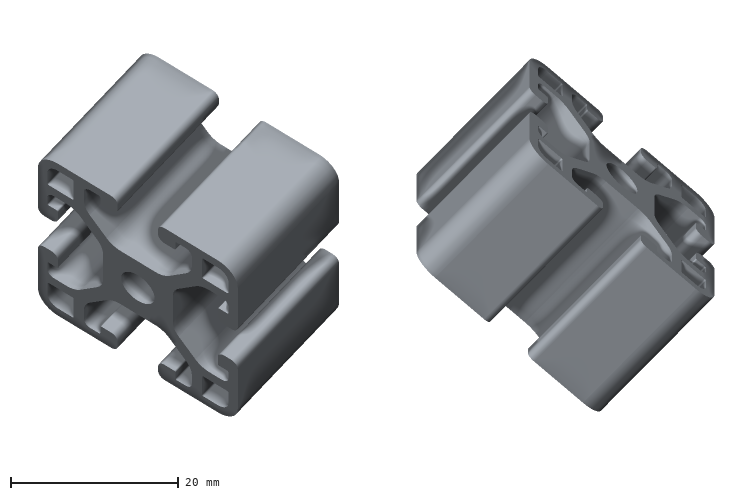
import cadquery as cq
import math

side = 30.0
length = 20.0
half_side = side / 2
corner_radius = 3.0

outer_wall = 1.4
bore_diameter = 5.0
core_width = 10.5
diagonal_web = 2.0

mouth_width = 6.1
lip_depth = 3.0
hook_gap = 11.3
slot_width = 16.2
lip_radius = 1.0
slot_corner_radius = 1.0
web_radius = 3.0
small_radius = 0.2

hollow_web = 1.55
hollow_inner = slot_width / 2 + hollow_web
hollow_radius = corner_radius - outer_wall

lip_bottom = half_side - lip_depth
inner_wall_face = half_side - outer_wall

web_offset = diagonal_web / math.sqrt(2)


def unit_vector(start, end):
    dx = end[0] - start[0]
    dz = end[1] - start[1]
    size = math.hypot(dx, dz)
    return dx / size, dz / size


def rounded_outline(corners):
    """Closed outline through (x, z, radius) corners, each rounded by a tangent arc."""
    rounds = []
    for i, (x, z, radius) in enumerate(corners):
        back = unit_vector((x, z), corners[i - 1])
        ahead = unit_vector((x, z), corners[(i + 1) % len(corners)])
        half_angle = math.acos(back[0] * ahead[0] + back[1] * ahead[1]) / 2
        tangent = radius / math.tan(half_angle)
        bulge = radius / math.sin(half_angle) - radius
        bisector = unit_vector((0, 0), (back[0] + ahead[0], back[1] + ahead[1]))
        arc_start = (x + tangent * back[0], z + tangent * back[1])
        arc_middle = (x + bulge * bisector[0], z + bulge * bisector[1])
        arc_end = (x + tangent * ahead[0], z + tangent * ahead[1])
        rounds.append((arc_start, arc_middle, arc_end))

    outline = cq.Workplane("XZ").moveTo(*rounds[-1][2])
    for arc_start, arc_middle, arc_end in rounds:
        outline = outline.lineTo(*arc_start).threePointArc(arc_middle, arc_end)
    return outline.close()


def quarter_turns(corners, turns):
    """Turn (x, z, radius) corners about the profile centre by 90 degree steps."""
    for _ in range(turns):
        corners = [(-z, x, radius) for x, z, radius in corners]
    return corners


def extrude_centred(outline):
    return outline.extrude(length / 2, both=True)


half_slot = [
    (mouth_width / 2, half_side, lip_radius),
    (mouth_width / 2, lip_bottom, lip_radius),
    (hook_gap / 2, lip_bottom, small_radius),
    (hook_gap / 2, inner_wall_face, small_radius),
    (slot_width / 2, inner_wall_face, slot_corner_radius),
    (slot_width / 2, slot_width / 2 + web_offset, web_radius),
    (core_width / 2 - web_offset, core_width / 2, web_radius),
]
mirrored_half_slot = [(-x, z, radius) for x, z, radius in reversed(half_slot)]
outer_corner = [(half_side, half_side, corner_radius)]
one_side = outer_corner + half_slot + mirrored_half_slot

hollow = [
    (inner_wall_face, inner_wall_face, hollow_radius),
    (hollow_inner, inner_wall_face, small_radius),
    (hollow_inner, hollow_inner, small_radius),
    (inner_wall_face, hollow_inner, small_radius),
]

outline_corners = []
for turn in range(4):
    outline_corners += quarter_turns(one_side, turn)
result = extrude_centred(rounded_outline(outline_corners))

for turn in range(4):
    result = result.cut(extrude_centred(rounded_outline(quarter_turns(hollow, turn))))

bore = extrude_centred(cq.Workplane("XZ").circle(bore_diameter / 2))
result = result.cut(bore)